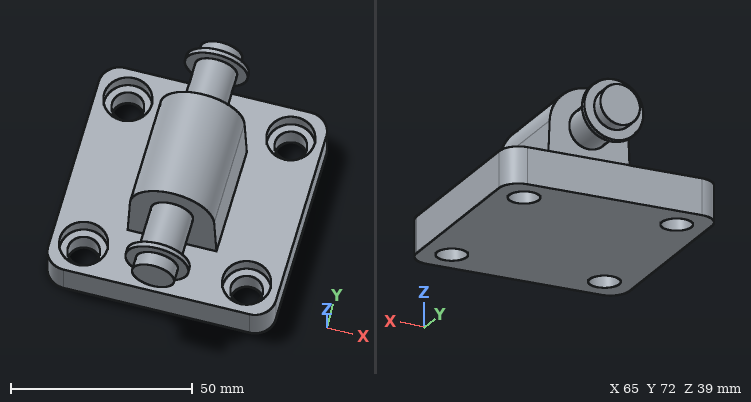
import cadquery as cq
import math

plate_side = 65.0
plate_thickness = 11.0
corner_radius = 6.0

hole_spacing = 46.5
hole_diameter = 9.0
counterbore_diameter = 13.5
counterbore_depth = 4.5

overall_height = 39.0
bracket_length = 32.0
bracket_base_width = 25.35
bracket_top_radius = 12.0

pin_length = 72
pin_diameter = 12.0
ring_diameter = 18
ring_thickness = 1.5
ring_end_offset = 4.0

pin_height = overall_height - bracket_top_radius


def make_plate():
    return (
        cq.Workplane("XY")
        .rect(plate_side, plate_side)
        .extrude(plate_thickness)
        .edges("|Z")
        .fillet(corner_radius)
        .faces(">Z")
        .workplane()
        .rect(hole_spacing, hole_spacing, forConstruction=True)
        .vertices()
        .cboreHole(hole_diameter, counterbore_diameter, counterbore_depth)
    )


def make_bracket():
    half_base = bracket_base_width / 2
    drop = pin_height - plate_thickness
    center_distance = math.hypot(half_base, drop)
    tangent_angle = math.acos(bracket_top_radius / center_distance) - math.atan2(drop, half_base)
    tangent_x = bracket_top_radius * math.cos(tangent_angle)
    tangent_z = pin_height + bracket_top_radius * math.sin(tangent_angle)
    return (
        cq.Workplane("XZ", origin=(0, bracket_length / 2, 0))
        .moveTo(-half_base, plate_thickness)
        .lineTo(half_base, plate_thickness)
        .lineTo(tangent_x, tangent_z)
        .threePointArc((0, overall_height), (-tangent_x, tangent_z))
        .close()
        .extrude(bracket_length)
    )


def make_cylinder(diameter, length, center_y):
    """Cylinder on the pin axis, centered at center_y."""
    return (
        cq.Workplane("XZ", origin=(0, center_y + length / 2, pin_height))
        .circle(diameter / 2)
        .extrude(length)
    )


result = make_plate().union(make_bracket()).union(make_cylinder(pin_diameter, pin_length, 0))

ring_center_y = pin_length / 2 - ring_end_offset - ring_thickness / 2
for side in (-1, 1):
    result = result.union(make_cylinder(ring_diameter, ring_thickness, side * ring_center_y))